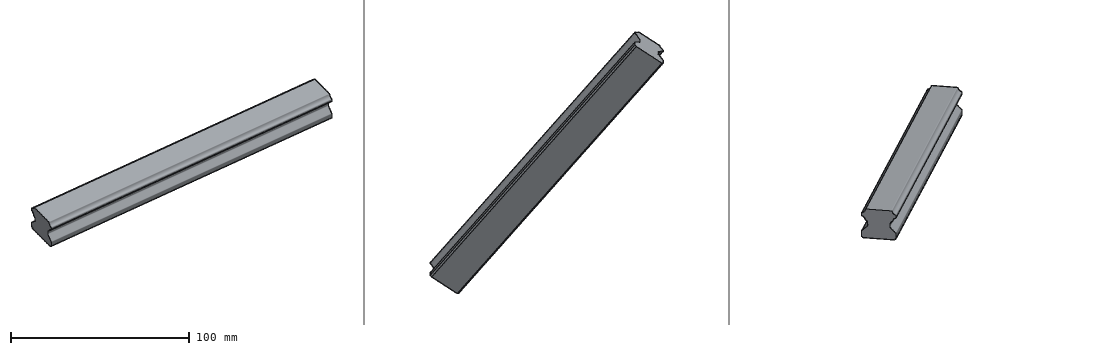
import cadquery as cq

LENGTH = 190.0
WIDTH = 20.0
HEIGHT = 17.5

HALF_WIDTH = WIDTH / 2
TOP_HALF_WIDTH = 7.6
NECK_HALF_WIDTH = 6.5
LOWER_RACE_HALF_WIDTH = 7.8

BASE_CHAMFER = 1.0
FOOT_TOP = 4.0
NECK_BOTTOM = 7.5
NECK_TOP = 9.9
LOWER_RACE_BOTTOM = 11.0
LIP_BOTTOM = 13.3
LIP_TOP = 15.0

BALL_RACE_RADIUS = 2.8
EDGE_RADIUS = 0.66

CAP_DIAMETER = 9.5
CAP_PITCH = 60.0
CAP_COUNT = 3
CAP_THICKNESS = 1.9


def half_section():
    """Right half of the cross-section, closed along the centre plane."""
    return (
        cq.Workplane("XZ")
        .moveTo(0, 0)
        .lineTo(HALF_WIDTH - BASE_CHAMFER, 0)
        .lineTo(HALF_WIDTH, BASE_CHAMFER)
        .lineTo(HALF_WIDTH, FOOT_TOP)
        .lineTo(NECK_HALF_WIDTH, NECK_BOTTOM)
        .lineTo(NECK_HALF_WIDTH, NECK_TOP)
        .lineTo(LOWER_RACE_HALF_WIDTH, LOWER_RACE_BOTTOM)
        .radiusArc((HALF_WIDTH, LIP_BOTTOM), BALL_RACE_RADIUS)
        .lineTo(HALF_WIDTH, LIP_TOP)
        .radiusArc((TOP_HALF_WIDTH, HEIGHT), BALL_RACE_RADIUS)
        .lineTo(0, HEIGHT)
        .close()
    )


def rail_body():
    """Full-length rail with its long edges rounded and the base chamfer left sharp."""
    half_rail = half_section().extrude(LENGTH / 2, both=True)
    rail = half_rail.union(half_rail.mirror("YZ")).clean()
    above_base_chamfer = cq.selectors.BoxSelector(
        (-WIDTH, -LENGTH, BASE_CHAMFER + EDGE_RADIUS),
        (WIDTH, LENGTH, HEIGHT + EDGE_RADIUS),
    )
    return rail.edges("|Y").edges(above_base_chamfer).fillet(EDGE_RADIUS)


def hole_caps():
    """Row of round caps whose upper faces lie in the top face of the rail."""
    return (
        cq.Workplane("XY", origin=(0, 0, HEIGHT - CAP_THICKNESS))
        .rarray(1.9, CAP_PITCH, 1, CAP_COUNT)
        .circle(CAP_DIAMETER / 2)
        .extrude(CAP_THICKNESS)
    )


caps = hole_caps()
result = rail_body().cut(caps).union(caps, clean=False)